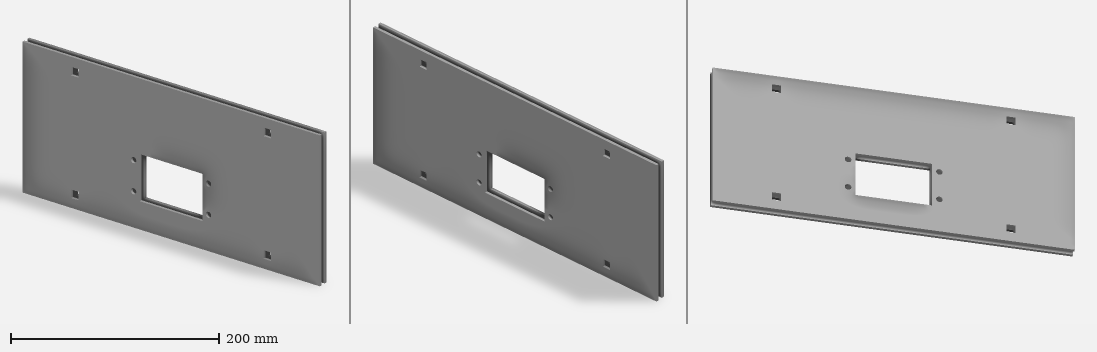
import cadquery as cq

plate_length = 357.0
plate_height = 160.0
plate_thickness = 3.0
plate_gap = 5.0

square_hole_side = 9.0
square_hole_spacing_x = 231.0
square_hole_spacing_z = 130.0

window_width = 75.0
window_height = 50.0
window_center_z = -25.0

screw_hole_diameter = 6.5
screw_hole_spacing_x = 90.0
screw_hole_spacing_z = 33.0


def make_plate(front_y):
    """Perforated plate whose front face lies at front_y, extending towards +Y."""
    face = cq.Workplane("XZ").workplane(offset=-front_y)
    plate = face.rect(plate_length, plate_height).extrude(-plate_thickness)
    square_holes = (
        face.rect(square_hole_spacing_x, square_hole_spacing_z, forConstruction=True)
        .vertices()
        .rect(square_hole_side, square_hole_side)
        .extrude(-plate_thickness)
    )
    window_face = face.center(0, window_center_z)
    window = window_face.rect(window_width, window_height).extrude(-plate_thickness)
    screw_holes = (
        window_face.rect(screw_hole_spacing_x, screw_hole_spacing_z, forConstruction=True)
        .vertices()
        .circle(screw_hole_diameter / 2)
        .extrude(-plate_thickness)
    )
    return plate.cut(square_holes).cut(window).cut(screw_holes)


front_plate_y = -plate_gap / 2 - plate_thickness
rear_plate_y = plate_gap / 2
plates = [make_plate(front_y) for front_y in (front_plate_y, rear_plate_y)]

result = cq.Compound.makeCompound([plate.val() for plate in plates])